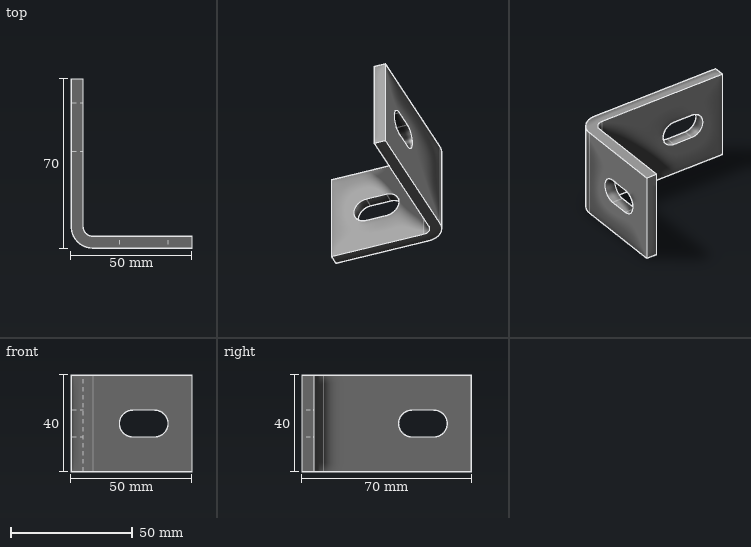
import cadquery as cq

short_leg = 50.0
long_leg = 70.0
height = 40.0

thickness = 5.0
inner_bend_radius = 4.0
outer_bend_radius = inner_bend_radius + thickness

slot_length = 20.0
slot_width = 11.0
slot_to_leg_end = 20.0
slot_cut_reach = 2 * thickness


def make_rounded_block(corner_radius):
    """Block of the overall size with its vertical edge at the origin rounded."""
    block = cq.Workplane("XY").box(short_leg, long_leg, height, centered=False)
    return block.edges("|Z and <X and <Y").fillet(corner_radius)


def make_bent_sheet():
    """L-shaped sheet of even thickness, with the outside of its bend at the origin."""
    inside = make_rounded_block(inner_bend_radius).translate((thickness, thickness, 0))
    return make_rounded_block(outer_bend_radius).cut(inside)


def make_slot_cutter(plane_name, center):
    """Horizontal slot with round ends, reaching through the leg."""
    return (
        cq.Workplane(plane_name, origin=center)
        .slot2D(slot_length, slot_width)
        .extrude(slot_cut_reach, both=True)
    )


short_leg_slot = make_slot_cutter("XZ", (short_leg - slot_to_leg_end, 0, height / 2))
long_leg_slot = make_slot_cutter("YZ", (0, long_leg - slot_to_leg_end, height / 2))

result = make_bent_sheet().cut(short_leg_slot).cut(long_leg_slot)